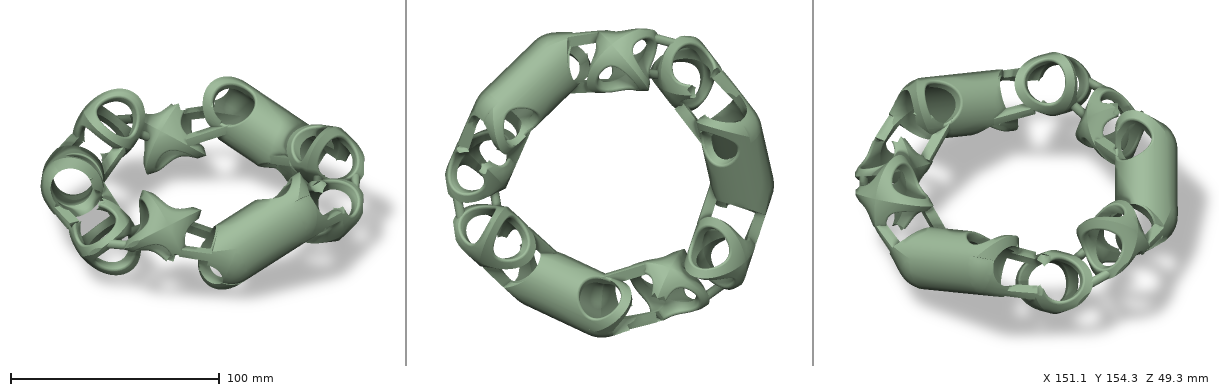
import cadquery as cq
import math


RING_WIDTH = 151.05
RING_DEPTH = 154.28
PIPE_RADIUS = 15.0
BORE_RADIUS = 10.0
SIDES = 12
RISE_ANGLE = 20.7
RIM_FILLET = 1.0
RIB_HEIGHT = 4.0
OUTER_RIB_TILT = 12.0
LIP_LENGTH = 10.5
RELIEF_RADIUS = 5.0
BAR_RADIUS = 2.2
TOLERANCE = 0.01
RIM_SAMPLE = 0.37

ring_apothem = RING_WIDTH / 2
gap_reach = RING_DEPTH - ring_apothem
axis_apothem = ring_apothem - PIPE_RADIUS
half_step = 180 / SIDES
node_radius = axis_apothem / math.cos(math.radians(half_step))
half_side = axis_apothem * math.tan(math.radians(half_step))
node_height = half_side * math.tan(math.radians(RISE_ANGLE))
side_length = 2 * half_side / math.cos(math.radians(RISE_ANGLE))
wall_middle = (PIPE_RADIUS + BORE_RADIUS) / 2
reach = 2 * PIPE_RADIUS

GAP_ANGLE = 150
CAGE_ANGLE = 180
PIPE_ANGLE = 210


def plan_direction(angle):
    turn = math.radians(angle)
    return cq.Vector(math.cos(turn), math.sin(turn), 0)


def node(angle, height):
    """Corner of the zigzag at a plan angle."""
    return plan_direction(angle) * node_radius + cq.Vector(0, 0, height)


head = node(CAGE_ANGLE - half_step, node_height)
elbow = node(CAGE_ANGLE + half_step, -node_height)
pipe_end = node(PIPE_ANGLE + half_step, node_height)
next_elbow_end = node(PIPE_ANGLE + 3 * half_step, -node_height)

gap_direction = plan_direction(GAP_ANGLE)
outward = plan_direction(CAGE_ANGLE)
cage_axis = (elbow - head).normalized()
cage_up = outward.cross(cage_axis)
pipe_axis = (elbow - pipe_end).normalized()
pole = pipe_axis.cross(cage_axis).normalized()
far_pole = (pipe_end - next_elbow_end).cross(pipe_axis).normalized()
head_eye_axis = pole.cross(cage_axis)
elbow_eye_axis = far_pole.cross(pipe_axis)
if elbow_eye_axis.z > 0:
    elbow_eye_axis = elbow_eye_axis * -1


def rod(base, axis, start, end, radius):
    """Cylinder along an axis, between two distances from its base point."""
    return cq.Workplane(obj=cq.Solid.makeCylinder(radius, end - start, base + axis * start, axis))


def ball(center, radius):
    return cq.Workplane("XY").sphere(radius).translate(center)


def half_space(base, side_axis, inward_axis):
    """Large block that starts at the base plane and extends along inward_axis."""
    return cq.Workplane(cq.Plane(base, side_axis, inward_axis)).rect(4 * reach, 4 * reach).extrude(3 * reach)


def axis_distance(point, base, axis):
    offset = point - base
    return (offset - axis * offset.dot(axis)).Length


def eyed_knuckle(center, axis, eye_axis):
    """Common body of two crossing pipes, bored along both and rounded at the four bore rims."""
    axes = (axis, eye_axis)
    pipes = [rod(center, a, -PIPE_RADIUS, PIPE_RADIUS, PIPE_RADIUS) for a in axes]
    body = pipes[0].intersect(pipes[1])
    for a in axes:
        body = body.cut(rod(center, a, -reach, reach, BORE_RADIUS))

    def is_rim(edge):
        point = edge.positionAt(RIM_SAMPLE)
        near, far = sorted(axis_distance(point, center, a) for a in axes)
        return abs(near - BORE_RADIUS) < TOLERANCE and abs(far - PIPE_RADIUS) < TOLERANCE

    rims = [edge for edge in body.edges().vals() if is_rim(edge)]
    return body.newObject(rims).fillet(RIM_FILLET)


def head_knuckle():
    """Knuckle at the gap end of the cage, with the cage-side post below the eye opened up."""
    body = eyed_knuckle(head, cage_axis, head_eye_axis)
    body = body.intersect(half_space(gap_direction * gap_reach, cq.Vector(0, 0, 1), gap_direction * -1))
    post = head + (cage_axis - head_eye_axis) * wall_middle
    return body.cut(rod(post, pole, -BORE_RADIUS, BORE_RADIUS, RELIEF_RADIUS))


def rib(side, tilt):
    """One rib of the cage: a slice of the pipe wall on one side, tilted about the middle of the cage."""
    turn = math.radians(tilt)
    middle = head + cage_axis * (side_length / 2)
    along = cage_axis * math.cos(turn) + cage_up * math.sin(turn)
    slab = cq.Workplane(cq.Plane(middle, side, along)).center(reach / 2, 0)
    slab = slab.rect(reach, RIB_HEIGHT).extrude(side_length, both=True)
    return rod(head, cage_axis, BORE_RADIUS, side_length, PIPE_RADIUS).intersect(slab)


def eyed_pipe():
    """Half of the closed pipe: past its corner it ends as a rounded half, with an eye through one wall."""
    pipe = rod(elbow, pipe_axis, -side_length / 2, PIPE_RADIUS, PIPE_RADIUS)
    pipe = pipe.cut(rod(elbow, elbow_eye_axis, 0, reach, BORE_RADIUS))

    def is_rim(edge):
        point = edge.positionAt(RIM_SAMPLE)
        from_eye = axis_distance(point, elbow, elbow_eye_axis)
        from_pipe = axis_distance(point, elbow, pipe_axis)
        return abs(from_eye - BORE_RADIUS) < TOLERANCE and abs(from_pipe - PIPE_RADIUS) < TOLERANCE

    rims = [edge for edge in pipe.edges().vals() if is_rim(edge)]
    pipe = pipe.newObject(rims).fillet(RIM_FILLET)
    rounded_end = half_space(elbow, pole, pipe_axis * -1).union(
        rod(elbow, elbow_eye_axis, -reach, reach, PIPE_RADIUS)
    )
    open_half = half_space(elbow, pipe_axis, pole).intersect(half_space(elbow, pole, pipe_axis))
    return pipe.intersect(rounded_end).cut(open_half)


def elbow_body():
    """Half of the closed pipe with a ball corner on one side of the bend and a lip towards the cage."""
    corner = ball(elbow, PIPE_RADIUS).intersect(half_space(elbow, pipe_axis, pole))
    lip = rod(elbow, cage_axis, -LIP_LENGTH, 0, PIPE_RADIUS)
    lip = lip.intersect(rod(elbow, pipe_axis, 0, reach, PIPE_RADIUS))
    return eyed_pipe().union(corner).union(lip)


def gap_bar(start):
    """Half of a bar that crosses the gap, from a point of the knuckle to the middle of the gap."""
    middle = gap_direction * start.dot(gap_direction)
    span = middle - start
    half_bar = rod(start, span.normalized(), 0, span.Length, BAR_RADIUS)
    return half_bar.union(ball(start, BAR_RADIUS)).union(ball(middle, BAR_RADIUS))


def arm():
    body = elbow_body().union(rib(outward, OUTER_RIB_TILT)).union(rib(outward * -1, 0))
    body = body.cut(rod(head, cage_axis, 0, side_length, BORE_RADIUS))
    body = body.cut(rod(elbow, pipe_axis, -side_length / 2, reach, BORE_RADIUS))
    body = body.cut(rod(head, head_eye_axis, -reach, reach, BORE_RADIUS))
    body = body.cut(rod(elbow, elbow_eye_axis, 0, reach, BORE_RADIUS))
    body = body.union(head_knuckle())
    outer_post = head - (cage_axis + head_eye_axis) * wall_middle
    inner_plate = head - cage_axis * (PIPE_RADIUS / 2) - pole * wall_middle
    for start in (outer_post, inner_plate):
        body = body.union(gap_bar(start))
    return body


def ring():
    """Six arms: a pair about the two-fold axis of the closed pipe, three times around Z."""
    half = arm()
    pair = half.union(half.rotate((0, 0, 0), plan_direction(PIPE_ANGLE).toTuple(), 180))
    whole = pair
    for turn in (120, 240):
        whole = whole.union(pair.rotate((0, 0, 0), (0, 0, 1), turn))
    return whole


result = ring()